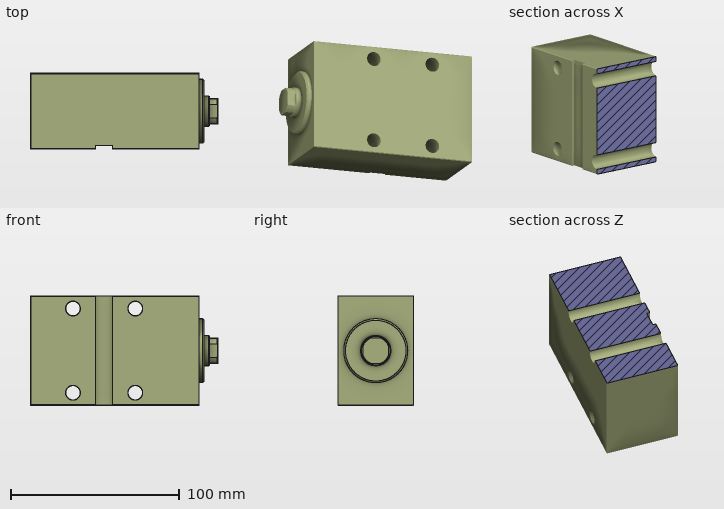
import cadquery as cq

length = 99.9
depth = 45.0
height = 65.0
edge_chamfer = 0.4

slot_start = 38.5
slot_width = 10.0
slot_depth = 2.0

hole_diameter = 8.5
hole_first_x = 25.1
hole_pitch_x = 37.0
hole_pitch_z = 50.0

gland_diameter = 38.0
gland_length = 3.0
gland_chamfer = 1.0

rod_diameter = 18.0
collar_projection = 3.1
collar_chamfer = 0.4
spigot_diameter = 17.0
spigot_chamfer = 0.4
across_flats = 15.0
total_length = 111.0
collar_end = length + gland_length + collar_projection


def x_cylinder(start, end, diameter):
    """Cylinder on the X axis between two X positions."""
    return cq.Workplane("YZ", origin=(start, 0, 0)).circle(diameter / 2).extrude(end - start)


def make_housing():
    block = cq.Workplane("XY").box(length, depth, height, centered=(False, True, True))
    block = block.edges("|X").chamfer(edge_chamfer)

    slot = (
        cq.Workplane("XY")
        .box(slot_width, slot_depth, height, centered=(False, False, True))
        .translate((slot_start, -depth / 2, 0))
    )

    hole_centres = [
        (hole_first_x + column * hole_pitch_x, side * hole_pitch_z / 2)
        for column in (0, 1)
        for side in (-1, 1)
    ]
    holes = (
        cq.Workplane("XZ", origin=(0, depth / 2, 0))
        .pushPoints(hole_centres)
        .circle(hole_diameter / 2)
        .extrude(depth)
    )
    return block.cut(slot).cut(holes).solids()


def make_gland():
    disc = x_cylinder(length, length + gland_length, gland_diameter)
    disc = disc.faces(">X").chamfer(gland_chamfer)
    bore = x_cylinder(length, length + gland_length, rod_diameter)
    return disc.cut(bore).solids()


def make_rod():
    collar = x_cylinder(length, collar_end, rod_diameter)
    collar = collar.faces(">X").chamfer(collar_chamfer)

    spigot = x_cylinder(collar_end, total_length, spigot_diameter)
    spigot = spigot.faces(">X").chamfer(spigot_chamfer)
    square = cq.Workplane("YZ", origin=(collar_end, 0, 0)).rect(across_flats, across_flats)
    square = square.extrude(total_length - collar_end)
    return collar.union(spigot.intersect(square)).solids()


housing = make_housing()
gland = make_gland()
rod = make_rod()

result = cq.Compound.makeCompound([housing.val(), gland.val(), rod.val()])